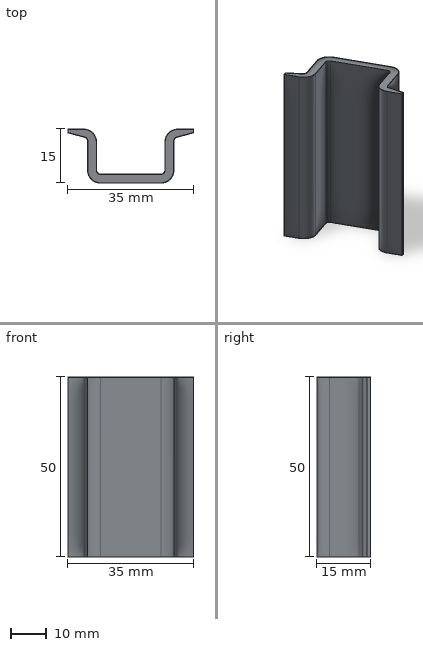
import cadquery as cq
import math

width = 35.0
depth = 15.0
length = 50.0

thickness = 2.5
channel_width = 24.0
inner_radius = 1.1
outer_radius = inner_radius + thickness
lip_edge = 1.0
lip_taper = 15.0

half_width = width / 2
half_outer = channel_width / 2
half_inner = half_outer - thickness
back = depth / 2
front = -back
lip_root = back - lip_edge - (half_width - half_outer) * math.tan(math.radians(lip_taper))


def prism(points):
    """Extrude a closed outline over the rail length, centred on the origin."""
    return cq.Workplane("XY").polyline(points).close().extrude(length / 2, both=True)


def round_edges(body, corners, radius):
    """Fillet the lengthwise edges at the given section corners, on both sides."""
    for x, y in corners:
        for side in (-1, 1):
            nearest = cq.selectors.NearestToPointSelector((side * x, y, 0))
            body = body.edges(nearest).fillet(radius)
    return body


half_section = [
    (half_outer, front),
    (half_outer, lip_root),
    (half_width, back - lip_edge),
    (half_width, back),
    (half_inner, back),
    (half_inner, front + thickness),
]
mirrored_section = [(-x, y) for x, y in reversed(half_section)]
rail = prism(half_section + mirrored_section)

rail = round_edges(rail, [(half_outer, front), (half_inner, back)], outer_radius)
rail = round_edges(rail, [(half_outer, lip_root), (half_inner, front + thickness)], inner_radius)

result = rail